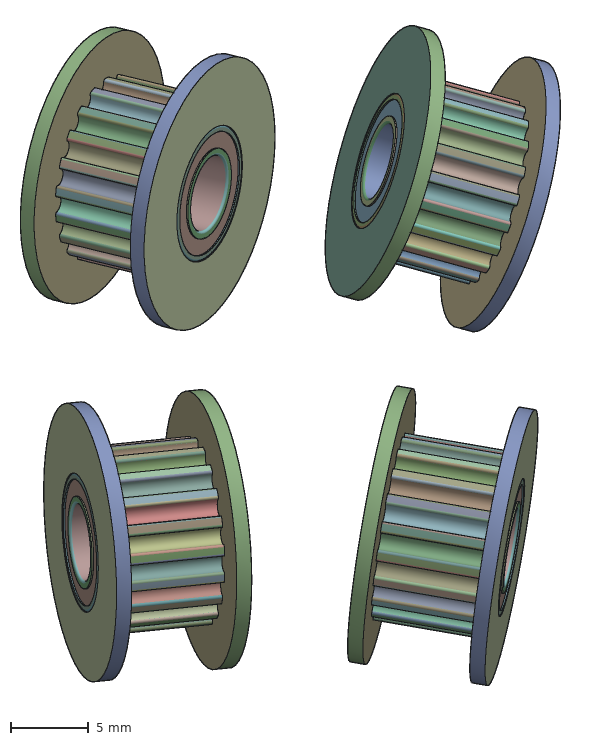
import cadquery as cq
import math

flange_diameter = 18.0
width = 9.0
flange_thickness = 1.0

tooth_count = 20
drum_diameter = 12.17
groove_radius = 0.55
groove_depth = 0.75
tooth_tip_radius = 0.15

bearing_diameter = 9.0
bearing_edge_radius = 0.15
bore_diameter = 5.0
shield_outer_diameter = 8.2
shield_inner_diameter = 6.0
shield_recess_depth = 0.1
bearing_width = 3.0

shoulder_diameter = 8.5

half_width = width / 2
drum_width = width - 2 * flange_thickness
drum_radius = drum_diameter / 2
hollow_length = width - 2 * bearing_width


def disc(diameter, start, length):
    """Solid cylinder along X, beginning at x = start."""
    return cq.Workplane("YZ", origin=(start, 0, 0)).circle(diameter / 2).extrude(length)


def belt_groove():
    """U-shaped groove along X at the +Y side, with rounded tooth tips on both sides."""
    tip_centre_z = groove_radius + tooth_tip_radius
    tip_centre_distance = drum_radius - tooth_tip_radius
    tip_centre_y = math.sqrt(tip_centre_distance**2 - tip_centre_z**2)
    tip_scale = drum_radius / tip_centre_distance
    tip_y = tip_centre_y * tip_scale
    tip_z = tip_centre_z * tip_scale

    tip_angle = math.atan2(tip_centre_z, tip_centre_y)
    middle_angle = (tip_angle - math.pi / 2) / 2
    middle_y = tip_centre_y + tooth_tip_radius * math.cos(middle_angle)
    middle_z = tip_centre_z + tooth_tip_radius * math.sin(middle_angle)

    bottom_y = drum_radius - groove_depth
    floor_centre_y = bottom_y + groove_radius
    outside_y = drum_radius + tooth_tip_radius

    return (
        cq.Workplane("YZ", origin=(-drum_width / 2, 0, 0))
        .moveTo(outside_y, tip_z)
        .lineTo(tip_y, tip_z)
        .threePointArc((middle_y, middle_z), (tip_centre_y, groove_radius))
        .lineTo(floor_centre_y, groove_radius)
        .threePointArc((bottom_y, 0), (floor_centre_y, -groove_radius))
        .lineTo(tip_centre_y, -groove_radius)
        .threePointArc((middle_y, -middle_z), (tip_y, -tip_z))
        .lineTo(outside_y, -tip_z)
        .close()
        .extrude(drum_width)
    )


def toothed_drum():
    drum = disc(drum_diameter, -drum_width / 2, drum_width)
    groove = belt_groove()
    for index in range(tooth_count):
        angle = index * 360 / tooth_count
        drum = drum.cut(groove.rotate((0, 0, 0), (1, 0, 0), angle))
    return drum


def bearing_edge_groove():
    """Ring left at the -X face between the flange and the rounded bearing edge."""
    outer = bearing_diameter / 2
    inner = outer - bearing_edge_radius
    bend = bearing_edge_radius * math.sqrt(0.5)
    return (
        cq.Workplane("XY")
        .moveTo(-half_width, inner)
        .threePointArc(
            (-half_width + bearing_edge_radius - bend, inner + bend),
            (-half_width + bearing_edge_radius, outer),
        )
        .lineTo(-half_width, outer)
        .close()
        .revolve(360, (0, 0, 0), (1, 0, 0))
    )


def shield_recess():
    """Shallow ring at the -X face between the two bearing races."""
    ring = disc(shield_outer_diameter, -half_width, shield_recess_depth)
    return ring.cut(disc(shield_inner_diameter, -half_width, shield_recess_depth))


result = toothed_drum()
result = result.union(disc(flange_diameter, -half_width, flange_thickness))
result = result.union(disc(flange_diameter, half_width - flange_thickness, flange_thickness))

result = result.cut(disc(bore_diameter, -half_width, width))
smallest_circles = cq.selectors.RadiusNthSelector(0)
result = result.faces("<X or >X").edges(smallest_circles).fillet(bearing_edge_radius)

for face_detail in (bearing_edge_groove(), shield_recess()):
    result = result.cut(face_detail).cut(face_detail.mirror("YZ"))

result = result.cut(disc(shoulder_diameter, -hollow_length / 2, hollow_length))